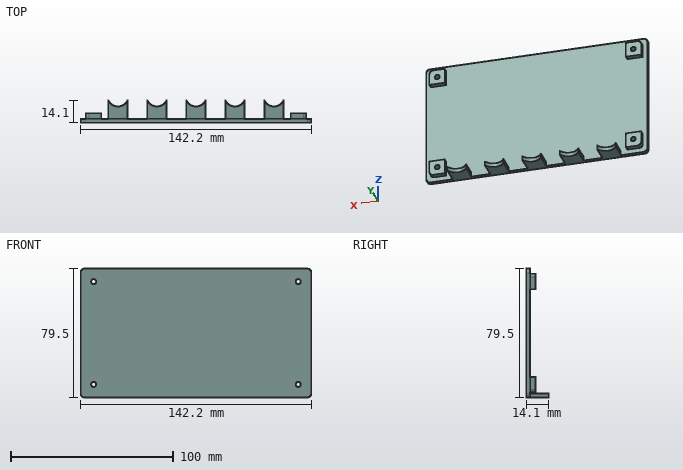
import cadquery as cq
import math

length = 142.2
height = 79.5
depth = 14.1
thickness = 2.5
corner_radius = 2.5

pad_size = 9.7
pad_height = 3.4
pad_inset = 3.1
pad_corner_radius = 2.0
hole_diameter = 3.0
hole_inset = 8.1

finger_count = 5
finger_pitch = 24.0
finger_width = 12.0
cradle_radius = 6.5


def block(x_min, z_min, width, tall, y_min, y_size):
    """Box given by its lower corner and size, growing toward +Y."""
    return cq.Workplane("XY").box(width, y_size, tall, centered=False).translate((x_min, y_min, z_min))


def plate():
    body = block(-length / 2, 0, length, height, 0, thickness)
    return body.edges("|Y").fillet(corner_radius)


def pad(side, end):
    """Pad at the side (-1 left, 1 right) and end (-1 bottom, 1 top), outer corner rounded."""
    center_x = side * (length / 2 - pad_inset - pad_size / 2)
    center_z = height / 2 + end * (height / 2 - pad_inset - pad_size / 2)
    body = block(center_x - pad_size / 2, center_z - pad_size / 2, pad_size, pad_size, thickness, pad_height)
    outer_x = ">X" if side > 0 else "<X"
    outer_z = ">Z" if end > 0 else "<Z"
    return body.edges(f"({outer_x}) and ({outer_z})").fillet(pad_corner_radius)


def finger(center_x):
    """Flat finger whose tip is hollowed by a circular cradle ending in two sharp points."""
    half_width = finger_width / 2
    cradle_center_y = depth + math.sqrt(cradle_radius**2 - half_width**2)
    return (
        cq.Workplane("XY")
        .moveTo(center_x - half_width, thickness)
        .lineTo(center_x + half_width, thickness)
        .lineTo(center_x + half_width, depth)
        .threePointArc((center_x, cradle_center_y - cradle_radius), (center_x - half_width, depth))
        .close()
        .extrude(thickness)
    )


result = plate()

for side in (-1, 1):
    for end in (-1, 1):
        result = result.union(pad(side, end))

for index in range(finger_count):
    result = result.union(finger((index - (finger_count - 1) / 2) * finger_pitch))

holes = (
    cq.Workplane("XZ", origin=(0, 0, height / 2))
    .rect(length - 2 * hole_inset, height - 2 * hole_inset, forConstruction=True)
    .vertices()
    .circle(hole_diameter / 2)
    .extrude(-(thickness + pad_height))
)
result = result.cut(holes)